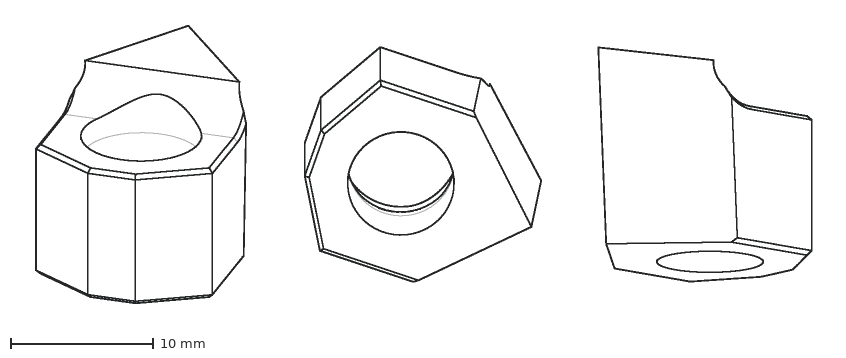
import cadquery as cq
import math

width = 13.1
apothem = width / 2
length = 17
tip_y = length - apothem
tip_height = 14.0
seat_height = 10.0
chamfer = 0.3
facet_angle = 30

relief_angle = 3
rake_angle = 10
fold_y = 4.65
cove_start_y = 1.8

bore_radius = 3.74
head_radius = 4.25
head_depth = 1.67
throat_depth = 4.5

relief = math.tan(math.radians(relief_angle))
rake = math.tan(math.radians(rake_angle))
stock_back_y = tip_y + chamfer
stock_top = 2 * tip_height

flat_half = apothem * math.tan(math.radians(facet_angle / 2))
side_end_y = -apothem * math.tan(math.radians(facet_angle))


def make_stock():
    """Side profile with the coved seat, trimmed to the faceted plan outline."""
    fold_height = tip_height - rake * (tip_y - fold_y)
    back_height = tip_height + rake * (stock_back_y - tip_y)
    profile = (
        cq.Workplane("YZ")
        .moveTo(-apothem, 0)
        .lineTo(-apothem, seat_height)
        .lineTo(cove_start_y, seat_height)
        .tangentArcPoint((fold_y, fold_height), relative=False)
        .lineTo(stock_back_y, back_height)
        .lineTo(stock_back_y, 0)
        .close()
        .extrude(apothem, both=True)
    )
    outline = (
        cq.Workplane("XY")
        .polyline([
            (-flat_half, -apothem),
            (flat_half, -apothem),
            (apothem, side_end_y),
            (apothem, stock_back_y),
            (-apothem, stock_back_y),
            (-apothem, side_end_y),
        ])
        .close()
        .extrude(stock_top)
    )
    return profile.intersect(outline)


def chamfer_rims(stock):
    """Bevel the bottom rim and the rim of the seat, following the cove along both sides."""
    margin = 0.002

    def on_rim(edge):
        middle = edge.positionAt(0.5)
        vertical = edge.geomType() == "LINE" and abs(edge.tangentAt(0).z) > margin
        on_side = abs(abs(middle.x) - apothem) < margin
        on_front = middle.y < side_end_y + margin
        return not vertical and (on_side or on_front)

    rim = [edge for edge in stock.edges().vals() if on_rim(edge)]
    return stock.newObject(rim).chamfer(chamfer)


def make_wedge():
    """Right-angled point whose two flanks lean inward toward the bottom by the relief."""
    def section(height):
        point_y = tip_y - relief * (tip_height - height)
        reach = point_y + width
        points = [(0, point_y), (-reach, -width), (reach, -width)]
        return cq.Wire.makePolygon([cq.Vector(x, y, height) for x, y in points], close=True)

    return cq.Workplane(obj=cq.Solid.makeLoft([section(0), section(stock_top)], True))


def make_screw_hole():
    """Through bore with a head recess that narrows along a convex arc tangent to the bore."""
    recess_z = seat_height - head_depth
    bore_z = seat_height - throat_depth
    return (
        cq.Workplane("XZ")
        .lineTo(bore_radius, 0)
        .lineTo(bore_radius, bore_z)
        .tangentArcPoint((head_radius, recess_z), relative=False)
        .lineTo(head_radius, tip_height)
        .lineTo(0, tip_height)
        .close()
        .revolve(360, (0, 0), (0, 1))
    )


result = chamfer_rims(make_stock()).intersect(make_wedge()).cut(make_screw_hole())